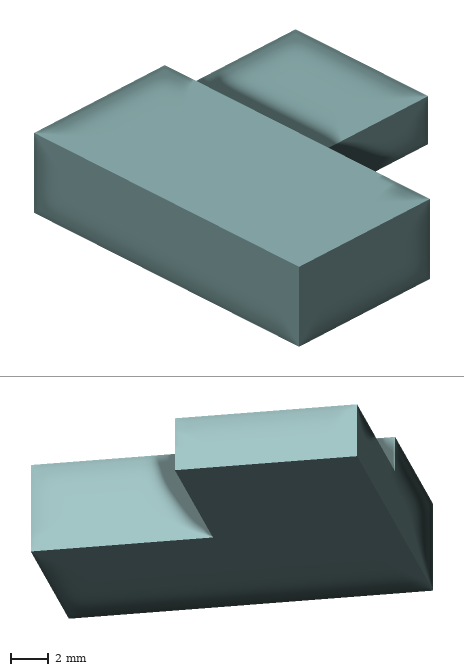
import cadquery as cq

side = 20.0
height = 5.0
low_height = 3.0
arm_width = side / 2


def corner_block(length_x, length_y, length_z):
    """Box with one corner at the origin."""
    return cq.Workplane("XY").box(length_x, length_y, length_z, centered=False)


tall_arm = corner_block(side, arm_width, height)

low_arm = corner_block(arm_width, side, low_height)

result = tall_arm.union(low_arm)